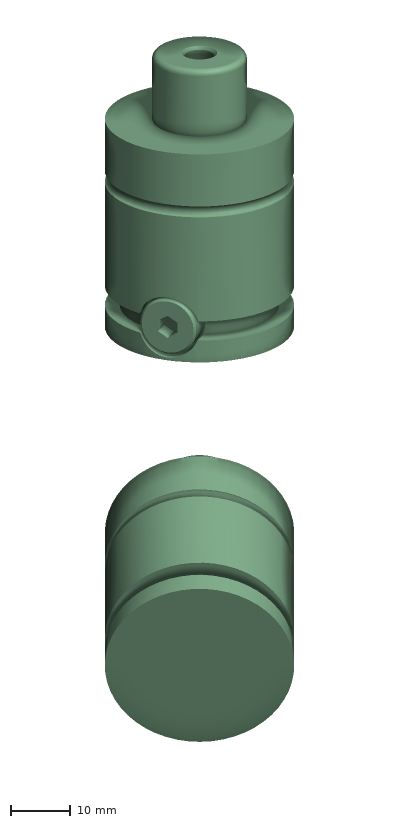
import cadquery as cq
import math

total_height = 50.0
body_radius = 16.0
body_height = 38.0
rod_radius = 8.0
rod_edge_fillet = 1.0

round_groove_radius = 1.0
round_groove_z = 27.5
square_groove_bottom = 4.0
square_groove_top = 7.5
square_groove_floor_radius = 13.5

hole_radius = 2.5
hole_mouth_radius = 3.0
hole_depth = 10.0
drill_tip_angle = 118.0

screw_z = 6.0
counterbore_radius = 5.5
counterbore_floor = 12.0
head_radius = 5.0
head_face = 15.75
head_chamfer = 0.35
hex_across_flats = 3.5
hex_depth = 3.0


def make_body():
    """Turn the body and rod in one profile, then round the rod end."""
    profile = (
        cq.Workplane("XZ")
        .lineTo(body_radius, 0)
        .lineTo(body_radius, square_groove_bottom)
        .lineTo(square_groove_floor_radius, square_groove_bottom)
        .lineTo(square_groove_floor_radius, square_groove_top)
        .lineTo(body_radius, square_groove_top)
        .lineTo(body_radius, round_groove_z - round_groove_radius)
        .threePointArc(
            (body_radius - round_groove_radius, round_groove_z),
            (body_radius, round_groove_z + round_groove_radius),
        )
        .lineTo(body_radius, body_height)
        .lineTo(rod_radius, body_height)
        .lineTo(rod_radius, total_height)
        .lineTo(0, total_height)
        .close()
    )
    turned = profile.revolve(360, (0, 0, 0), (0, 1, 0))
    return turned.faces(">Z").edges().fillet(rod_edge_fillet)


def make_rod_hole():
    """Chamfered blind hole ending in a drill tip."""
    mouth_chamfer = hole_mouth_radius - hole_radius
    hole_bottom = total_height - hole_depth
    tip_length = hole_radius / math.tan(math.radians(drill_tip_angle / 2))
    profile = (
        cq.Workplane("XZ")
        .moveTo(0, total_height)
        .lineTo(hole_mouth_radius, total_height)
        .lineTo(hole_radius, total_height - mouth_chamfer)
        .lineTo(hole_radius, hole_bottom)
        .lineTo(0, hole_bottom - tip_length)
        .close()
    )
    return profile.revolve(360, (0, 0, 0), (0, 1, 0))


def side_plane(distance):
    """Workplane facing -Y, centred on the screw axis."""
    return cq.Workplane("XZ", origin=(0, -distance, screw_z))


def make_counterbore():
    """Cutter from the counterbore floor out to the body surface."""
    depth = body_radius - counterbore_floor
    return side_plane(counterbore_floor).circle(counterbore_radius).extrude(depth)


def make_screw_head():
    """Chamfered round head with a hexagon socket."""
    head_height = head_face - counterbore_floor
    head = side_plane(counterbore_floor).circle(head_radius).extrude(head_height)
    head = head.faces("<Y").edges().chamfer(head_chamfer)
    hex_corner_diameter = hex_across_flats / math.cos(math.pi / 6)
    socket = (
        side_plane(head_face - hex_depth)
        .polygon(6, hex_corner_diameter)
        .extrude(hex_depth)
        .rotate((0, 0, screw_z), (0, 1, screw_z), 30)
    )
    return head.cut(socket)


result = (
    make_body()
    .cut(make_rod_hole())
    .cut(make_counterbore())
    .union(make_screw_head())
)